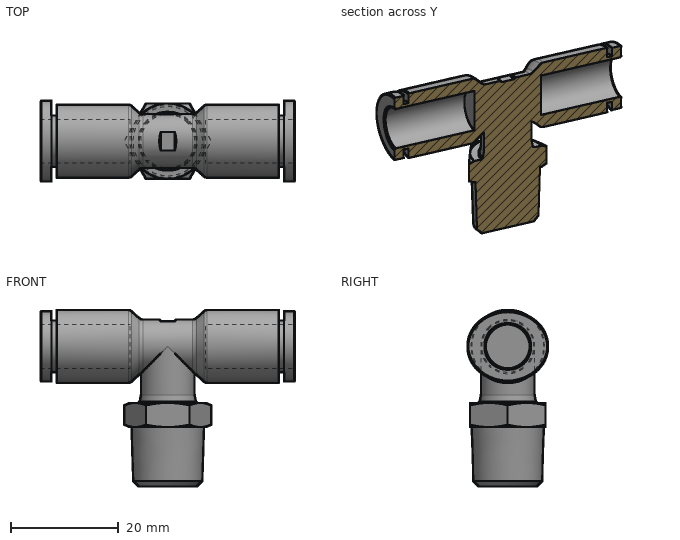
import cadquery as cq
import math


length = 47.2
body_radius = 6.8
waist_radius = 5.0
body_end = 20.65
shoulder_start = 7.0
shoulder_end = 5.0
outer_shoulder_round = 0.85
inner_shoulder_round = 1.15
body_edge_chamfer = 0.15
neck_radius = 4.8

collar_width = 15.0
collar_height = 13.07
collar_thickness = 2.05
collar_chamfer = 0.2

bore_radius = 4.05
bore_chamfer = 0.3
bore_floor = shoulder_start

recess_floor_length = 2.55
recess_floor_width = 3.5

foot_radius = 5.25
foot_base_radius = 5.48
foot_start_z = -8.95
foot_flare_z = -10.25
hex_top_z = -10.5
hex_bottom_z = -14.95
hex_flats = 14.0
hex_chamfer_angle = 22.0
thread_top_radius = 6.75
thread_length = 11.05
thread_end_chamfer = 1.05
thread_taper = 1 / 32


def revolve_about_x(profile):
    return profile.close().revolve(360, (0, 0, 0), (1, 0, 0))


def ring_edges(distance):
    """Select the pair of circular edges lying at +/- distance along X."""
    margin = 0.05
    half_box = 2 * body_radius
    left, right = (
        cq.selectors.BoxSelector(
            (x - margin, -half_box, -half_box), (x + margin, half_box, half_box)
        )
        for x in (-distance, distance)
    )
    return left + right


def make_run():
    """Both socket bodies and the waist, with rounded shoulders."""
    run = revolve_about_x(
        cq.Workplane("XY")
        .moveTo(-body_end, 0)
        .lineTo(-body_end, body_radius)
        .lineTo(-shoulder_start, body_radius)
        .lineTo(-shoulder_end, waist_radius)
        .lineTo(shoulder_end, waist_radius)
        .lineTo(shoulder_start, body_radius)
        .lineTo(body_end, body_radius)
        .lineTo(body_end, 0)
    )
    run = run.faces("<X or >X").chamfer(body_edge_chamfer)
    run = run.edges(ring_edges(shoulder_start)).fillet(outer_shoulder_round)
    return run.edges(ring_edges(shoulder_end)).fillet(inner_shoulder_round)


def make_collar():
    """Release collar at the -X end, with the neck that carries it."""
    collar = (
        cq.Workplane("YZ", origin=(-length / 2, 0, 0))
        .ellipse(collar_width / 2, collar_height / 2)
        .extrude(collar_thickness)
        .faces("<X")
        .chamfer(collar_chamfer)
    )
    neck = (
        cq.Workplane("YZ", origin=(-length / 2 + collar_thickness / 2, 0, 0))
        .circle(neck_radius)
        .extrude(length / 2 - collar_thickness / 2 - shoulder_start)
    )
    return collar.union(neck)


def make_bore():
    """Blind tube bore with a chamfered mouth, open at the -X end."""
    return revolve_about_x(
        cq.Workplane("XY")
        .moveTo(-length / 2, 0)
        .lineTo(-length / 2, bore_radius + bore_chamfer)
        .lineTo(-length / 2 + bore_chamfer, bore_radius)
        .lineTo(-bore_floor, bore_radius)
        .lineTo(-bore_floor, 0)
    )


def make_recess():
    """Flat-bottomed recess with 45 degree ends, cut across the top of the waist."""
    floor_z = math.sqrt(waist_radius**2 - (recess_floor_width / 2) ** 2)
    depth = body_radius - floor_z
    half_floor = recess_floor_length / 2
    return (
        cq.Workplane("XZ")
        .moveTo(-half_floor, floor_z)
        .lineTo(half_floor, floor_z)
        .lineTo(half_floor + depth, floor_z + depth)
        .lineTo(-half_floor - depth, floor_z + depth)
        .close()
        .extrude(waist_radius, both=True)
    )


def make_stem_and_thread():
    """Turned part of the branch, from the tube axis down to the thread end."""
    thread_end_z = hex_bottom_z - thread_length
    chamfer_z = thread_end_z + thread_end_chamfer
    thread_end_radius = thread_top_radius - thread_taper * (hex_bottom_z - chamfer_z)
    return (
        cq.Workplane("XZ")
        .lineTo(waist_radius, 0)
        .lineTo(waist_radius, foot_start_z)
        .lineTo(foot_radius, foot_flare_z)
        .lineTo(foot_base_radius, hex_top_z)
        .lineTo(thread_top_radius, hex_top_z)
        .lineTo(thread_top_radius, hex_bottom_z)
        .lineTo(thread_end_radius, chamfer_z)
        .lineTo(thread_end_radius - thread_end_chamfer, thread_end_z)
        .lineTo(0, thread_end_z)
        .close()
        .revolve(360, (0, 0, 0), (0, 1, 0))
    )


def make_hexagon():
    """Wrench hexagon, corners on the X axis, corners turned off top and bottom."""
    corner_radius = hex_flats / 2 / math.cos(math.pi / 6)
    flat_radius = hex_flats / 2
    drop = (corner_radius - flat_radius) * math.tan(math.radians(hex_chamfer_angle))
    prism = (
        cq.Workplane("XY", origin=(0, 0, hex_bottom_z))
        .polygon(6, 2 * corner_radius)
        .extrude(hex_top_z - hex_bottom_z)
    )
    turned_blank = (
        cq.Workplane("XZ")
        .moveTo(0, hex_top_z)
        .lineTo(flat_radius, hex_top_z)
        .lineTo(corner_radius, hex_top_z - drop)
        .lineTo(corner_radius, hex_bottom_z + drop)
        .lineTo(flat_radius, hex_bottom_z)
        .lineTo(0, hex_bottom_z)
        .close()
        .revolve(360, (0, 0, 0), (0, 1, 0))
    )
    return prism.intersect(turned_blank)


result = make_run().union(make_stem_and_thread()).union(make_hexagon()).cut(make_recess())

collar = make_collar()
bore = make_bore()
result = result.union(collar).union(collar.mirror("YZ"))
result = result.cut(bore).cut(bore.mirror("YZ"))